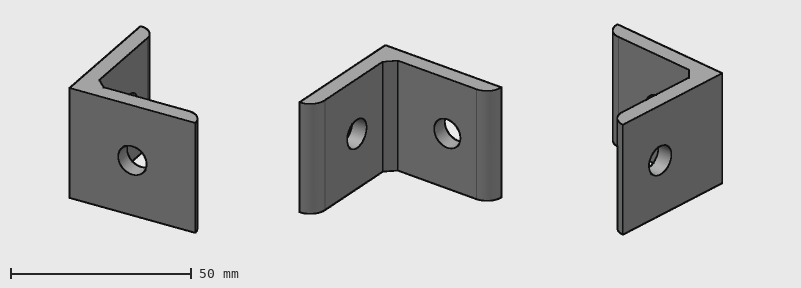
import cadquery as cq

leg_length = 40.0
height = 35.0
thickness = 5.0
corner_chamfer = 3.0
tip_radius = thickness

hole_diameter = 9.0
x_leg_hole_position = leg_length / 2
y_leg_hole_position = 25.0

tip_start = leg_length - tip_radius
chamfer_end = thickness + corner_chamfer

bracket = (
    cq.Workplane("XY")
    .lineTo(leg_length, 0)
    .radiusArc((tip_start, thickness), -tip_radius)
    .lineTo(chamfer_end, thickness)
    .lineTo(thickness, chamfer_end)
    .lineTo(thickness, tip_start)
    .radiusArc((0, leg_length), -tip_radius)
    .close()
    .extrude(height)
)


def leg_hole(plane, position, direction):
    """Cylinder through one leg at mid height, starting on its outer face."""
    return (
        cq.Workplane(plane)
        .center(position, height / 2)
        .circle(hole_diameter / 2)
        .extrude(direction * thickness)
    )


x_leg_hole = leg_hole("XZ", x_leg_hole_position, -1)
y_leg_hole = leg_hole("YZ", y_leg_hole_position, 1)

result = bracket.cut(x_leg_hole).cut(y_leg_hole)